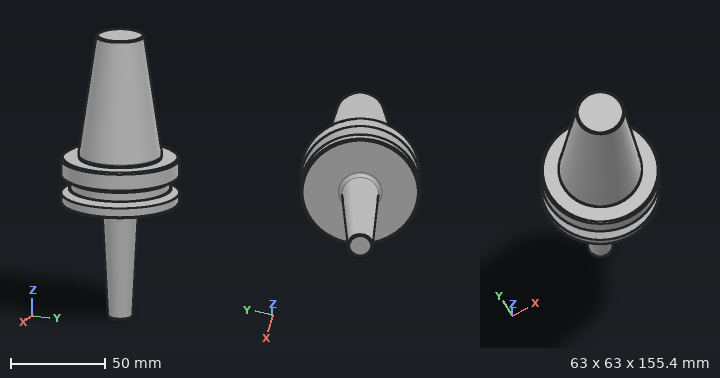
import cadquery as cq
import math

total_height = 155.4
gauge_height = 90.0
flange_bottom = 63.0
flange_top = 88.1

flange_diameter = 63.0
flange_radius = flange_diameter / 2
flange_top_chamfer = 1.0
flange_bottom_chamfer = 0.8
groove_floor_radius = 26.5
groove_middle = 73.5
groove_mouth_width = 9.8
groove_floor_width = 5.0
groove_wall_angle = 30.0

taper_base_radius = 22.2
taper_ratio = 7 / 24
taper_end_chamfer = 0.6
neck_radius = 21.9
collar_height = 0.8

nose_base_radius = 9.8
nose_tip_radius = 6.5
nose_tip_chamfer = 0.6
nose_root_fillet = 1.9


def nose_points():
    """Profile from the tip up to the flange, stopping where the root fillet begins.

    Returns the outline points, then the middle and the end of the fillet arc.
    """
    lean = math.atan((nose_base_radius - nose_tip_radius) / flange_bottom)
    turn = math.pi / 2 - lean
    tangent_length = nose_root_fillet * math.tan(turn / 2)
    center_radius = nose_base_radius + tangent_length
    center_height = flange_bottom - nose_root_fillet

    def on_fillet(angle):
        return (
            center_radius - nose_root_fillet * math.sin(angle),
            center_height + nose_root_fillet * math.cos(angle),
        )

    chamfer_top_radius = nose_tip_radius + nose_tip_chamfer * math.tan(lean)
    outline = [
        (0, 0),
        (nose_tip_radius - nose_tip_chamfer, 0),
        (chamfer_top_radius, nose_tip_chamfer),
        on_fillet(turn),
    ]
    return outline, on_fillet(turn / 2), on_fillet(0)


def flange_points():
    """Profile of the flange with chamfered rims and the gripper groove."""
    half_mouth = groove_mouth_width / 2
    half_floor = groove_floor_width / 2
    wall_run = (half_mouth - half_floor) / math.tan(math.radians(groove_wall_angle))
    wall_inner_radius = flange_radius - wall_run
    return [
        (flange_radius - flange_bottom_chamfer, flange_bottom),
        (flange_radius, flange_bottom + flange_bottom_chamfer),
        (flange_radius, groove_middle - half_mouth),
        (wall_inner_radius, groove_middle - half_floor),
        (groove_floor_radius, groove_middle - half_floor),
        (groove_floor_radius, groove_middle + half_floor),
        (wall_inner_radius, groove_middle + half_floor),
        (flange_radius, groove_middle + half_mouth),
        (flange_radius, flange_top - flange_top_chamfer),
        (flange_radius - flange_top_chamfer, flange_top),
    ]


def taper_points():
    """Profile of the neck, the short collar and the spindle taper."""
    radius_slope = taper_ratio / 2
    taper_length = total_height - gauge_height
    taper_end_radius = taper_base_radius - taper_length * radius_slope
    collar_bottom = gauge_height - collar_height
    neck_top = collar_bottom - (taper_base_radius - neck_radius)
    chamfer_bottom_radius = taper_end_radius + taper_end_chamfer * radius_slope
    return [
        (neck_radius, flange_top),
        (neck_radius, neck_top),
        (taper_base_radius, collar_bottom),
        (taper_base_radius, gauge_height),
        (chamfer_bottom_radius, total_height - taper_end_chamfer),
        (taper_end_radius - taper_end_chamfer, total_height),
        (0, total_height),
    ]


nose_outline, fillet_middle, fillet_end = nose_points()
profile = cq.Workplane("XZ").polyline(nose_outline).threePointArc(fillet_middle, fillet_end)
for point in flange_points() + taper_points():
    profile = profile.lineTo(*point)

result = profile.close().revolve(360, (0, 0, 0), (0, 1, 0))